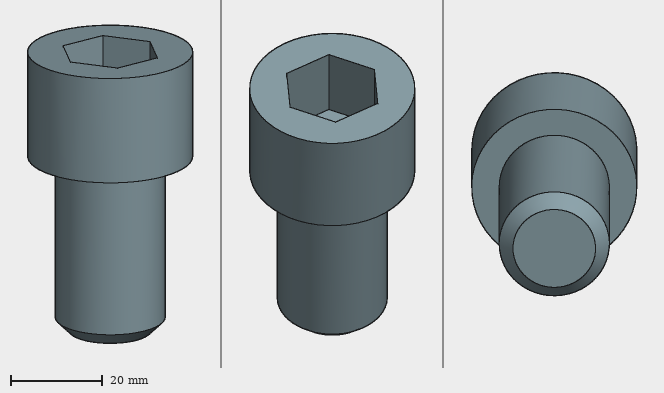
import cadquery as cq
import math

total_length = 64.0
shank_diameter = 24.0
head_diameter = 36.0
head_height = shank_diameter
shank_length = total_length - head_height
tip_chamfer = 3.0

socket_across_flats = 19.15
socket_across_corners = socket_across_flats / math.cos(math.pi / 6)
socket_depth = head_height * 2 / 3


def make_head():
    return cq.Workplane("XY").circle(head_diameter / 2).extrude(head_height)


def make_shank():
    shank = cq.Workplane("XY").circle(shank_diameter / 2).extrude(-shank_length)
    return shank.faces("<Z").chamfer(tip_chamfer)


def make_socket():
    top = cq.Workplane("XY").workplane(offset=head_height)
    return top.polygon(6, socket_across_corners).extrude(-socket_depth)


result = make_head().union(make_shank()).cut(make_socket())